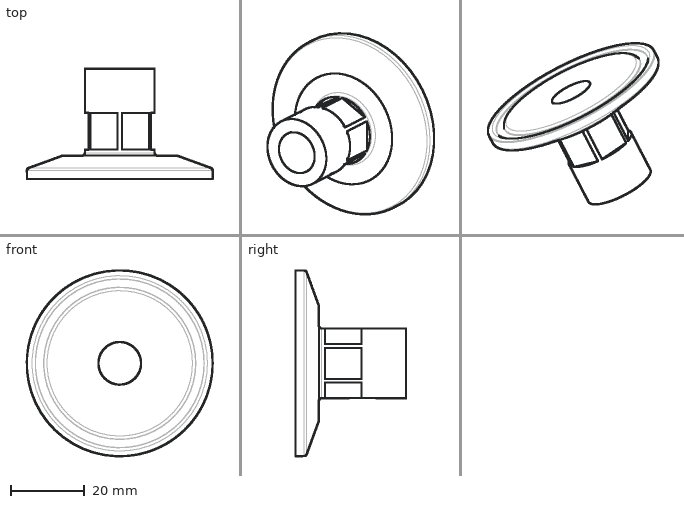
import cadquery as cq
import math

TOTAL_LENGTH = 30.0
BORE_RADIUS = 5.75

FLANGE_RADIUS = 25.25
FLANGE_THICKNESS = 6.35
CONE_ANGLE = 20.0
CONE_TOP_RADIUS = 15.65
RIM_ROUND = 0.75
FACE_EDGE_ROUND = 0.2

HUB_RADIUS = 9.5
HUB_ROOT_FILLET = 0.75
HEX_ACROSS_FLATS = 17.0
HEX_START = 8.0
HEX_END = 18.0

GROOVE_CENTER_RADIUS = 21.75
GROOVE_DEPTH = 1.6
GROOVE_FLANK_ANGLE = 70.0
GROOVE_BOTTOM_ROUND = 1.15
GROOVE_LIP_ROUND = 0.9


def revolve_about_y(profile):
    return profile.revolve(360, (0, 0, 0), (0, 1, 0))


def make_flange():
    rim_length = FLANGE_THICKNESS - (FLANGE_RADIUS - CONE_TOP_RADIUS) * math.tan(math.radians(CONE_ANGLE))
    profile = (
        cq.Workplane("XY")
        .polyline([
            (0, 0),
            (FLANGE_RADIUS, 0),
            (FLANGE_RADIUS, rim_length),
            (CONE_TOP_RADIUS, FLANGE_THICKNESS),
            (0, FLANGE_THICKNESS),
        ])
        .close()
    )
    flange = revolve_about_y(profile)
    face_edge = cq.selectors.BoxSelector(
        (-FLANGE_RADIUS, -rim_length / 2, -FLANGE_RADIUS),
        (FLANGE_RADIUS, rim_length / 2, FLANGE_RADIUS),
    )
    rim_edge = cq.selectors.BoxSelector(
        (-FLANGE_RADIUS, rim_length / 2, -FLANGE_RADIUS),
        (FLANGE_RADIUS, (rim_length + FLANGE_THICKNESS) / 2, FLANGE_RADIUS),
    )
    flange = flange.edges(rim_edge).edges("%CIRCLE").fillet(RIM_ROUND)
    return flange.edges(face_edge).edges("%CIRCLE").fillet(FACE_EDGE_ROUND)


def make_hub():
    """Cylinder whose root flares onto the flange with a fillet."""
    fillet_end = FLANGE_THICKNESS + HUB_ROOT_FILLET
    profile = (
        cq.Workplane("XY")
        .lineTo(0, TOTAL_LENGTH)
        .lineTo(HUB_RADIUS, TOTAL_LENGTH)
        .lineTo(HUB_RADIUS, fillet_end)
        .radiusArc((HUB_RADIUS + HUB_ROOT_FILLET, FLANGE_THICKNESS), -HUB_ROOT_FILLET)
        .lineTo(HUB_RADIUS + HUB_ROOT_FILLET, 0)
        .close()
    )
    return revolve_about_y(profile)


def make_wrench_flat_cutter():
    """Ring around a hexagon that has two flats facing +X and -X."""
    hex_length = HEX_END - HEX_START
    corner_diameter = HEX_ACROSS_FLATS / math.cos(math.pi / 6)
    start_plane = cq.Workplane("XZ", origin=(0, HEX_END, 0))
    hexagon = start_plane.transformed(rotate=(0, 0, 30)).polygon(6, corner_diameter).extrude(hex_length)
    return start_plane.circle(corner_diameter).extrude(hex_length).cut(hexagon)


def make_groove_cutter():
    """Ring with the groove section, symmetric about the groove's center radius."""
    flank_angle = math.radians(GROOVE_FLANK_ANGLE)
    arc_drop = 1 - math.cos(flank_angle)
    lip_depth = GROOVE_LIP_ROUND * arc_drop
    flank_end_depth = GROOVE_DEPTH - GROOVE_BOTTOM_ROUND * arc_drop
    half_bottom = GROOVE_BOTTOM_ROUND * math.sin(flank_angle)
    half_lip = half_bottom + (flank_end_depth - lip_depth) / math.tan(flank_angle)
    half_opening = half_lip + GROOVE_LIP_ROUND * math.sin(flank_angle)
    profile = (
        cq.Workplane("XY")
        .moveTo(GROOVE_CENTER_RADIUS - half_opening, 0)
        .radiusArc((GROOVE_CENTER_RADIUS - half_lip, lip_depth), -GROOVE_LIP_ROUND)
        .lineTo(GROOVE_CENTER_RADIUS - half_bottom, flank_end_depth)
        .threePointArc(
            (GROOVE_CENTER_RADIUS, GROOVE_DEPTH),
            (GROOVE_CENTER_RADIUS + half_bottom, flank_end_depth),
        )
        .lineTo(GROOVE_CENTER_RADIUS + half_lip, lip_depth)
        .radiusArc((GROOVE_CENTER_RADIUS + half_opening, 0), -GROOVE_LIP_ROUND)
        .close()
    )
    return revolve_about_y(profile)


def make_bore_cutter():
    return cq.Workplane("XZ").circle(BORE_RADIUS).extrude(-TOTAL_LENGTH)


result = (
    make_flange()
    .union(make_hub())
    .cut(make_wrench_flat_cutter())
    .cut(make_groove_cutter())
    .cut(make_bore_cutter())
)